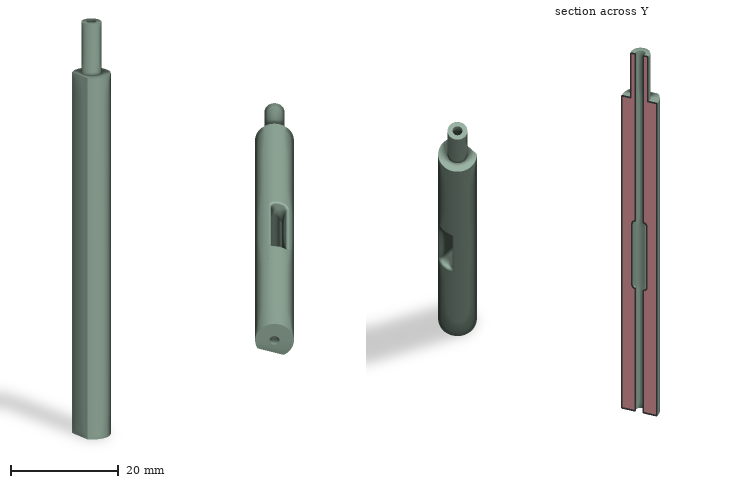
import cadquery as cq

total_length = 80.0
pin_length = 10.0
body_diameter = 7.2
flat_offset = 2.6
pin_diameter = 3.7
bore_diameter = 1.8
window_length = 15.0
window_width = 2.9
window_corner_radius = 0.7
window_rim_radius = 0.4

body_length = total_length - pin_length
body_radius = body_diameter / 2

flat_half_width = (body_radius**2 - flat_offset**2) ** 0.5
body = (
    cq.Workplane("XY")
    .moveTo(-flat_half_width, -flat_offset)
    .lineTo(flat_half_width, -flat_offset)
    .threePointArc((body_radius, 0), (0, body_radius))
    .threePointArc((-body_radius, 0), (-flat_half_width, -flat_offset))
    .close()
    .extrude(body_length)
)

window = (
    cq.Workplane("XY")
    .box(window_width, body_radius, window_length)
    .edges("|Y")
    .fillet(window_corner_radius)
    .translate((0, body_radius / 2, body_length / 2))
)
body = body.cut(window)

rim_floor = body_radius - 2 * window_rim_radius
rim_region = cq.selectors.BoxSelector(
    (-window_width, rim_floor, (body_length - window_length) / 2 - window_rim_radius),
    (window_width, body_radius + window_rim_radius, (body_length + window_length) / 2 + window_rim_radius),
)
body = body.edges(rim_region).fillet(window_rim_radius)

pin = cq.Workplane("XY").workplane(offset=body_length).circle(pin_diameter / 2).extrude(pin_length)
bore = cq.Workplane("XY").circle(bore_diameter / 2).extrude(total_length)

result = body.union(pin).cut(bore)